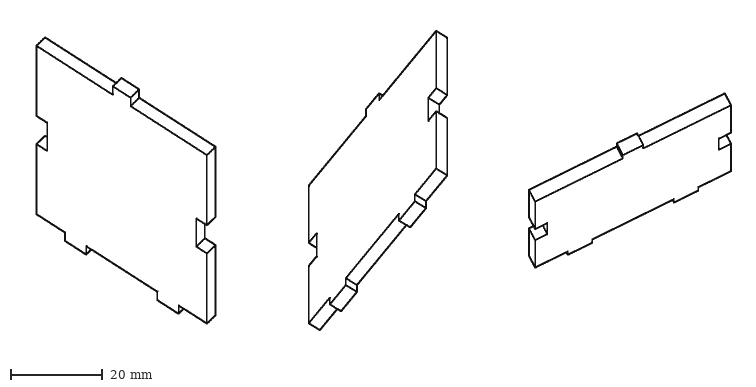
import cadquery as cq

thickness = 3.0
plate_width = 48.0
plate_height = 60.0

joint_depth = thickness
top_tab_width = 5.0
bottom_tab_width = 6.0
bottom_tab_spacing = 26.0
notch_height = 10.0


def block(width, height, x, z):
    """Block of full plate thickness, centred at (x, z)."""
    return cq.Workplane("XY").box(width, thickness, height).translate((x, 0, z))


def add_tabs(plate):
    """One tab in the middle of the top edge and two on the bottom edge."""
    tab_z = (plate_height + joint_depth) / 2
    plate = plate.union(block(top_tab_width, joint_depth, 0, tab_z))
    for side in (-1, 1):
        tab_x = side * bottom_tab_spacing / 2
        plate = plate.union(block(bottom_tab_width, joint_depth, tab_x, -tab_z))
    return plate


def cut_notches(plate):
    """One notch halfway up each vertical edge."""
    notch_x = (plate_width - joint_depth) / 2
    for side in (-1, 1):
        plate = plate.cut(block(joint_depth, notch_height, side * notch_x, 0))
    return plate


plate = block(plate_width, plate_height, 0, 0)
result = cut_notches(add_tabs(plate)).clean()